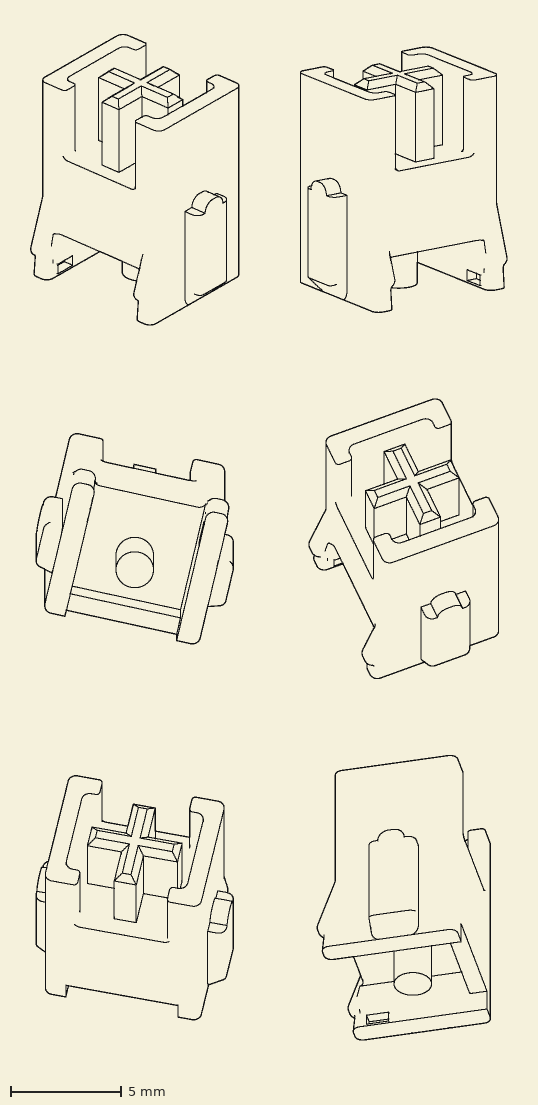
import cadquery as cq
import math

height = 9.9
body_width = 7.23
body_depth = 5.7
corner_radius = 0.37
half_width = body_width / 2
half_depth = body_depth / 2

floor_height = 6.31
pocket_width = 5.62
pocket_depth = 4.1
slot_width = 4.16
lip_radius = 0.17
floor_fillet = 0.21

cross_span = 4.18
cross_arm = 1.02
cross_chamfer = 0.31

leg_thickness = 1.02
front_wall_bottom = 2.31
rear_wall_bottom = 1.01
rear_wall_thickness = (body_depth - pocket_depth) / 2
leg_gap = body_width - 2 * leg_thickness

pin_diameter = 1.7

overall_width = 8.82
rail_depth = 2.2
rail_height = 5.01
bump_width = 1.23
bump_height = 0.5
rail_reach = (overall_width - body_width) / 2

clip_top = 3.84
clip_tip_z = 1.33
clip_tip_reach = 0.88
clip_neck_reach = 0.51
clip_foot_reach = 0.6
undercut_angle = 45.0
tip_radius = 0.22
neck_radius = 0.3
clip_edge_radius = corner_radius
clip_blend_radius = 0.35

recess_length = 1.03
recess_height = 0.5
recess_bottom = 0.1
recess_front_gap = 0.1
recess_into_leg = leg_thickness / 2

tiny = 0.01


def box(width, depth, tall, x=0, y=0, z=0):
    """A box centred on x and y with its bottom at z."""
    return cq.Workplane("XY").box(width, depth, tall, centered=(True, True, False)).translate((x, y, z))


def on_both_sides(right_side):
    """The given right-hand solid together with its mirror image."""
    return right_side.union(right_side.mirror("YZ"))


def make_block():
    return box(body_width, body_depth, height).edges("|Z").fillet(corner_radius)


def blend_clips(block):
    """Round the crease where each clip rises out of the front wall, from the foot to the clip top."""
    crease_zone = cq.selectors.BoxSelector(
        (-half_width, -half_depth - tiny, tiny),
        (half_width, -half_depth + tiny, clip_top + tiny),
    )
    return block.edges(crease_zone).edges("|Z").fillet(clip_blend_radius)


def make_underside_gap():
    """The space between the legs; the front wall ends higher than the rear wall."""
    ahead = corner_radius
    front_depth = body_depth - rear_wall_thickness + ahead
    front_y = -half_depth - ahead + front_depth / 2
    front_gap = box(leg_gap, front_depth, front_wall_bottom, y=front_y)
    return front_gap.union(box(leg_gap, body_depth, rear_wall_bottom))


def make_pocket():
    """The space above the floor; it widens just outside the body so that the lips get round ends."""
    open_height = height - floor_height
    space = box(pocket_width, pocket_depth, open_height, z=floor_height)
    space = space.union(box(slot_width, body_depth, open_height, z=floor_height))
    outside_y = half_depth + corner_radius
    for y in (-outside_y, outside_y):
        space = space.union(box(pocket_width, 2 * corner_radius, open_height, y=y, z=floor_height))

    lip_zone = cq.selectors.BoxSelector(
        (-slot_width / 2 - tiny, -body_depth, floor_height),
        (slot_width / 2 + tiny, body_depth, height),
    )
    pocket_zone = cq.selectors.BoxSelector(
        (-half_width, -pocket_depth / 2 - tiny, floor_height),
        (half_width, pocket_depth / 2 + tiny, height),
    )
    space = space.edges("|Z").edges(lip_zone).fillet(lip_radius)
    space = space.edges("|Z").edges(pocket_zone - lip_zone).fillet(corner_radius)
    return space.faces("<Z").edges().fillet(floor_fillet)


def make_cross():
    tall = height - floor_height
    cross = box(cross_span, cross_arm, tall, z=floor_height)
    cross = cross.union(box(cross_arm, cross_span, tall, z=floor_height))
    return cross.faces(">Z").chamfer(cross_chamfer)


def make_right_rail():
    """A rail with a 45 degree lower end, rounded outer edges and a rounded bump on top."""
    outer_x = half_width + rail_reach
    inner_x = half_width - rail_reach / 2
    rail = (
        cq.Workplane("XZ", origin=(0, rail_depth / 2, 0))
        .moveTo(inner_x, 0)
        .lineTo(half_width, 0)
        .lineTo(outer_x, rail_reach)
        .lineTo(outer_x, rail_height)
        .lineTo(inner_x, rail_height)
        .close()
        .extrude(rail_depth)
    )
    outer_zone = cq.selectors.BoxSelector(
        (half_width + tiny, -rail_depth, 0), (outer_x + tiny, rail_depth, rail_height - tiny)
    )
    rail = rail.edges(outer_zone).edges("not |Y").fillet(corner_radius)
    bump_x = (outer_x + inner_x) / 2
    bump = box(outer_x - inner_x, bump_width, 2 * bump_height, x=bump_x, z=rail_height - bump_height)
    bump = bump.faces(">Z").edges("|X").fillet(bump_height)
    return rail.union(bump)


def make_right_clip():
    """A hooked profile as wide as the leg, rounded along all of its outer edges."""
    back_y = -half_depth + 2 * corner_radius
    neck_drop = (clip_tip_reach - clip_neck_reach) / math.tan(math.radians(undercut_angle))
    tip = (-half_depth - clip_tip_reach, clip_tip_z)
    neck = (-half_depth - clip_neck_reach, clip_tip_z - neck_drop)
    foot = (-half_depth - clip_foot_reach, 0)
    clip = (
        cq.Workplane("YZ", origin=(leg_gap / 2, 0, 0))
        .polyline([(back_y, 0), foot, neck, tip, (-half_depth, clip_top), (back_y, clip_top)])
        .close()
        .extrude(leg_thickness)
    )
    for corner, radius in ((tip, tip_radius), (neck, neck_radius)):
        corner_edge = cq.selectors.NearestToPointSelector((half_width - leg_thickness / 2, *corner))
        clip = clip.edges(corner_edge).fillet(radius)
    front_zone = cq.selectors.BoxSelector(
        (0, -body_depth, tiny), (body_width, -half_depth - tiny, clip_top - tiny)
    )
    return clip.edges(front_zone).edges("not |X").fillet(clip_edge_radius)


def make_right_recess():
    x = leg_gap / 2 + recess_into_leg / 2
    y = -half_depth + recess_front_gap + recess_length / 2
    return box(recess_into_leg, recess_length, recess_height, x, y, recess_bottom)


pin = cq.Workplane("XY").circle(pin_diameter / 2).extrude(front_wall_bottom)

result = make_block().union(on_both_sides(make_right_clip()))
result = blend_clips(result)
result = result.cut(make_underside_gap())
result = result.cut(make_pocket())
result = result.union(make_cross()).union(pin)
result = result.union(on_both_sides(make_right_rail()))
result = result.cut(on_both_sides(make_right_recess()))